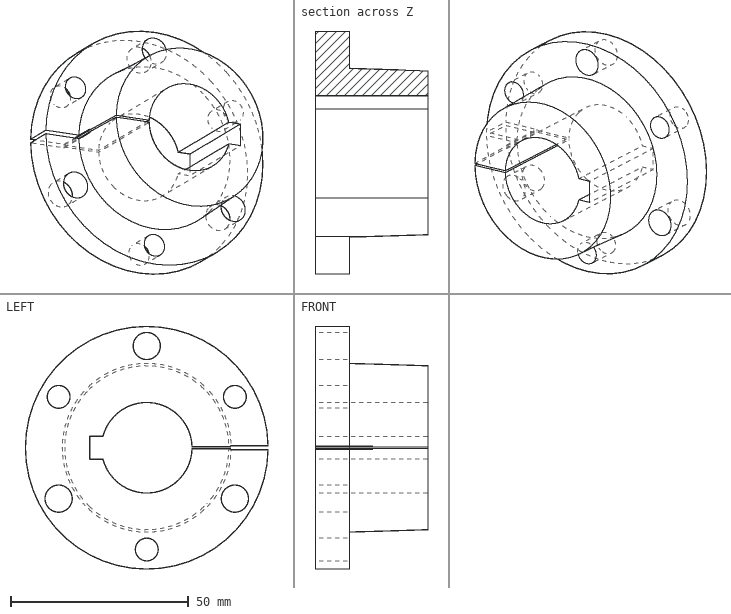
import cadquery as cq
import math

length = 31.75
flange_diameter = 68.25
flange_thickness = 9.6
hub_root_diameter = 47.5
hub_end_diameter = 46.15
bore_diameter = 25.4

keyway_width = 6.35
keyway_depth_from_axis = 16.0

bolt_circle_radius = 28.6
clearance_hole_diameter = 7.6
jack_hole_diameter = 6.35
clearance_hole_angles = (90, 210, 330)
jack_hole_angles = (30, 150, 270)

slit_width = 0.55
wide_slit_width = 1.0
wide_slit_inner_radius = 23.55


def bushing_body():
    """Flange and tapered hub turned around the X axis, with a plain bore."""
    bore_radius = bore_diameter / 2
    flange_radius = flange_diameter / 2
    profile = (
        cq.Workplane("XY")
        .moveTo(0, bore_radius)
        .lineTo(0, flange_radius)
        .lineTo(flange_thickness, flange_radius)
        .lineTo(flange_thickness, hub_root_diameter / 2)
        .lineTo(length, hub_end_diameter / 2)
        .lineTo(length, bore_radius)
        .close()
    )
    return profile.revolve(360, (0, 0, 0), (1, 0, 0))


def flange_holes(diameter, angles):
    """Cylinders through the flange on the bolt circle."""
    centres = [
        (
            bolt_circle_radius * math.cos(math.radians(angle)),
            bolt_circle_radius * math.sin(math.radians(angle)),
        )
        for angle in angles
    ]
    return cq.Workplane("YZ").pushPoints(centres).circle(diameter / 2).extrude(flange_thickness)


def radial_slot(width, start_y, end_y):
    """Full-length slot centred on Z = 0, spanning start_y to end_y."""
    return (
        cq.Workplane("YZ")
        .center((start_y + end_y) / 2, 0)
        .rect(abs(end_y - start_y), width)
        .extrude(length)
    )


keyway = radial_slot(keyway_width, 0, keyway_depth_from_axis)
slit = radial_slot(slit_width, 0, -flange_diameter / 2)
wide_slit = radial_slot(wide_slit_width, -wide_slit_inner_radius, -flange_diameter / 2)

result = (
    bushing_body()
    .cut(flange_holes(clearance_hole_diameter, clearance_hole_angles))
    .cut(flange_holes(jack_hole_diameter, jack_hole_angles))
    .cut(keyway)
    .cut(slit)
    .cut(wide_slit)
)